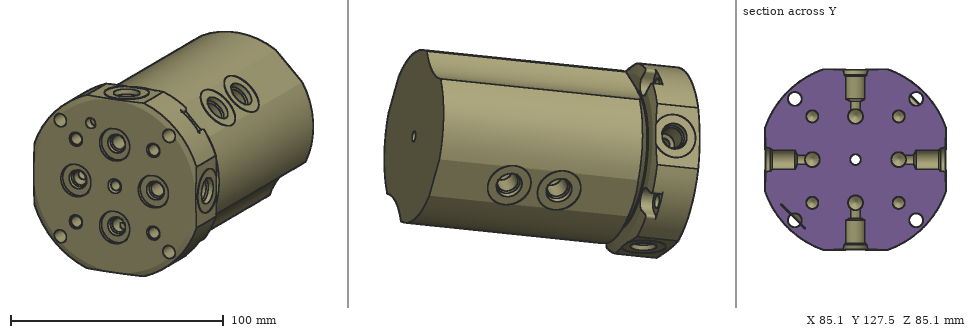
import cadquery as cq
import math


total_length = 127.51
across_flats = 85.09
head_radius = 45.1
head_length = 22.7
front_face_radius = 42.3
front_bevel_length = 0.8
rear_face_radius = 40.0
rear_bevel_length = 1.3

neck_radius = 34.0
neck_length = 0.7
body_radius = 40.85
body_cone_length = 4.7
flat_distance = 39.65
groove_depth = 5.4
groove_edge_angle = 19.0

screw_offset = 28.5
screw_hole_diameter = 6.4
screw_floor = 16.4
slot_radius = 5.7
slot_mouth_fillet = 1.3

drill_point_angle = 118.0
side_recess_diameter = 21.0
side_recess_depth = 0.25
side_seat_diameter = 12.4
side_neck_diameter = 11.4
side_seat_depth = 2.36
side_bore_diameter = 9.9
side_bore_depth = 14.0
face_recess_diameter = 15.8
face_recess_depth = 2.0
face_seat_diameter = 9.1
face_neck_diameter = 8.3
face_seat_depth = 1.9
face_bore_diameter = 6.9
face_bore_depth = 16.0

hole_pitch_offset = 20.3
head_port_y = 12.7
upper_ports_y = 52.7
left_ports_y = 65.1
body_port_spacing = 24.9
feed_diameter = 6.2

tapped_mouth_diameter = 6.8
tapped_bore_diameter = 5.6
tapped_depth = 12.0
center_mouth_diameter = 7.0
center_bore_diameter = 4.9
dowel_x = -12.6
dowel_z = 29.2
dowel_diameter = 5.1
dowel_depth = 5.0

half_flats = across_flats / 2
neck_end = head_length + neck_length
body_start = neck_end + body_cone_length
port_angles = (0, 90, 180, 270)
screw_angles = (45, 135, 225, 315)
upper_flat_angle = 45
left_flat_angle = 225
groove_angles = (135, 315)


def turned(profile):
    """Solid of revolution about Y from (radius, y) points."""
    return cq.Workplane("XY").polyline(profile).close().revolve(360, (0, 0, 0), (0, 1, 0))


def around(shape, angle):
    """Turn a shape about Y so that +X goes to the given angle, measured from +X towards +Z."""
    return shape.rotate((0, 0, 0), (0, 1, 0), -angle)


def drill_point(diameter):
    """Height of the conical bottom of a drilled hole."""
    return diameter / 2 / math.tan(math.radians(drill_point_angle / 2))


def make_head():
    head = turned([
        (0, 0),
        (front_face_radius, 0),
        (head_radius, front_bevel_length),
        (head_radius, head_length - rear_bevel_length),
        (rear_face_radius, head_length),
        (0, head_length),
    ])
    square = cq.Workplane("XY").box(across_flats, 2 * head_length, across_flats)
    return head.intersect(square)


def make_body():
    """Neck, cone and long cylinder, with two port flats and two grooves down its length."""
    body = turned([
        (0, head_length),
        (neck_radius, head_length),
        (neck_radius, neck_end),
        (body_radius, body_start),
        (body_radius, total_length),
        (0, total_length),
    ])
    for angle in (upper_flat_angle, left_flat_angle):
        body = body.cut(around(flat_cutter(), angle))
    for angle in groove_angles:
        body = body.cut(around(groove_cutter(), angle))
    return body


def flat_cutter():
    """Block that leaves a flat on the +X side of the body."""
    block = cq.Workplane("XY").box(body_radius, total_length, 2 * body_radius)
    return block.translate((flat_distance + body_radius / 2, head_length + total_length / 2, 0))


def groove_cutter():
    """Round bar on +X whose arc meets the body surface at the groove edge angle."""
    half_width = body_radius * math.sin(math.radians(groove_edge_angle))
    edge_x = body_radius * math.cos(math.radians(groove_edge_angle))
    bottom_x = body_radius - groove_depth
    sagitta = edge_x - bottom_x
    radius = (half_width ** 2 + sagitta ** 2) / (2 * sagitta)
    bar = cq.Workplane("XZ").center(bottom_x + radius, 0).circle(radius).extrude(head_length - total_length)
    return bar.translate((0, head_length, 0))


def slot_cutter():
    """U-shaped slot on +X behind a screw hole, open to the rim with a rounded mouth."""
    center_x = screw_offset * math.sqrt(2)
    fillet_z = slot_radius + slot_mouth_fillet
    fillet_x = math.sqrt((head_radius - slot_mouth_fillet) ** 2 - fillet_z ** 2)
    rim_angle = math.atan2(fillet_z, fillet_x)
    middle_angle = (rim_angle - math.pi / 2) / 2
    mouth_x = head_radius * math.cos(rim_angle)
    mouth_z = head_radius * math.sin(rim_angle)
    middle_x = fillet_x + slot_mouth_fillet * math.cos(middle_angle)
    middle_z = fillet_z + slot_mouth_fillet * math.sin(middle_angle)
    outer_x = head_radius + slot_mouth_fillet
    outline = (
        cq.Workplane("XZ")
        .moveTo(mouth_x, mouth_z)
        .threePointArc((middle_x, middle_z), (fillet_x, slot_radius))
        .lineTo(center_x, slot_radius)
        .threePointArc((center_x - slot_radius, 0), (center_x, -slot_radius))
        .lineTo(fillet_x, -slot_radius)
        .threePointArc((middle_x, -middle_z), (mouth_x, -mouth_z))
        .lineTo(outer_x, -mouth_z)
        .lineTo(outer_x, mouth_z)
        .close()
    )
    return outline.extrude(screw_floor - head_length).translate((0, screw_floor, 0))


def straight_hole(x, z, diameter, depth):
    """Flat-bottomed round hole from the front face."""
    return cq.Workplane("XZ").center(x, z).circle(diameter / 2).extrude(-depth)


def countersunk_hole(mouth_diameter, bore_diameter, depth):
    """Hole on the Y axis with a 45 degree countersink and a drill-point bottom."""
    return turned([
        (0, 0),
        (mouth_diameter / 2, 0),
        (bore_diameter / 2, (mouth_diameter - bore_diameter) / 2),
        (bore_diameter / 2, depth),
        (0, depth + drill_point(bore_diameter)),
    ])


def port(recess_diameter, recess_depth, seat_diameter, neck_diameter, seat_depth, bore_diameter, bore_depth):
    """Port cutter on the Y axis, entering at Y = 0; the recess also clears what stands in front of it."""
    neck_y = recess_depth + seat_depth
    return turned([
        (0, -recess_depth),
        (recess_diameter / 2, -recess_depth),
        (recess_diameter / 2, recess_depth),
        (seat_diameter / 2, recess_depth),
        (neck_diameter / 2, neck_y),
        (bore_diameter / 2, neck_y + (neck_diameter - bore_diameter) / 2),
        (bore_diameter / 2, bore_depth),
        (0, bore_depth + drill_point(bore_diameter)),
    ])


def face_port():
    cutter = port(face_recess_diameter, face_recess_depth, face_seat_diameter, face_neck_diameter,
                  face_seat_depth, face_bore_diameter, face_bore_depth)
    return cutter.translate((hole_pitch_offset, 0, 0))


def side_port(surface_x, y):
    """Port that enters the +X side at the given distance from the axis."""
    cutter = port(side_recess_diameter, side_recess_depth, side_seat_diameter, side_neck_diameter,
                  side_seat_depth, side_bore_diameter, side_bore_depth)
    return cutter.rotate((0, 0, 0), (0, 0, 1), 90).translate((surface_x, y, 0))


def feed_bore():
    """Bore on +X that joins a head side port to the face port behind it."""
    bore = cq.Workplane("YZ").center(head_port_y, 0).circle(feed_diameter / 2)
    length = half_flats - side_bore_depth - hole_pitch_offset
    return bore.extrude(length).translate((hole_pitch_offset, 0, 0))


def cut_screw_places(part):
    for angle in screw_angles:
        part = part.cut(around(slot_cutter(), angle))
        hole = straight_hole(screw_offset * math.sqrt(2), 0, screw_hole_diameter, screw_floor)
        part = part.cut(around(hole, angle))
    return part


def cut_face_holes(part):
    tapped = countersunk_hole(tapped_mouth_diameter, tapped_bore_diameter, tapped_depth)
    for x in (-hole_pitch_offset, hole_pitch_offset):
        for z in (-hole_pitch_offset, hole_pitch_offset):
            part = part.cut(tapped.translate((x, 0, z)))
    part = part.cut(countersunk_hole(center_mouth_diameter, center_bore_diameter, total_length))
    return part.cut(straight_hole(dowel_x, dowel_z, dowel_diameter, dowel_depth))


def cut_head_ports(part):
    for angle in port_angles:
        for cutter in (face_port(), side_port(half_flats, head_port_y), feed_bore()):
            part = part.cut(around(cutter, angle))
    return part


def cut_body_ports(part):
    for angle, first_y in ((upper_flat_angle, upper_ports_y), (left_flat_angle, left_ports_y)):
        for y in (first_y, first_y + body_port_spacing):
            part = part.cut(around(side_port(flat_distance, y), angle))
    return part


result = make_head().union(make_body())
result = cut_screw_places(result)
result = cut_face_holes(result)
result = cut_head_ports(result)
result = cut_body_ports(result)